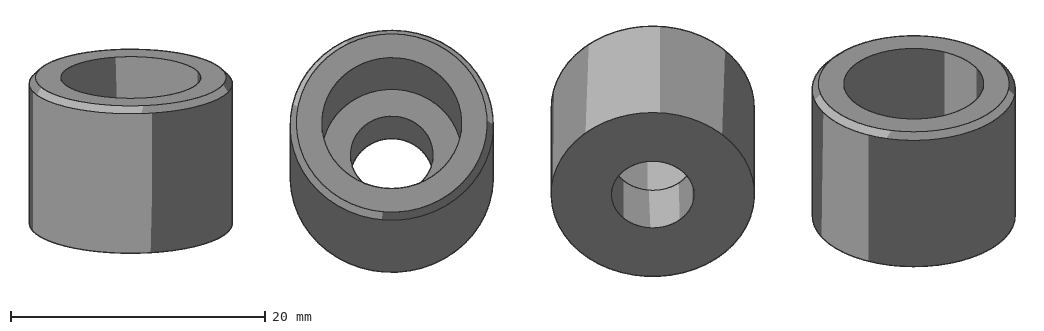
import cadquery as cq

outer_diameter = 16.0
height = 12.0
top_chamfer = 0.5
counterbore_diameter = 11.0
counterbore_depth = 7.0
hole_diameter = 6.5

body = cq.Workplane("XY").circle(outer_diameter / 2).extrude(height)
body = body.faces(">Z").edges().chamfer(top_chamfer)

result = (
    body.faces(">Z")
    .workplane()
    .cboreHole(hole_diameter, counterbore_diameter, counterbore_depth)
)